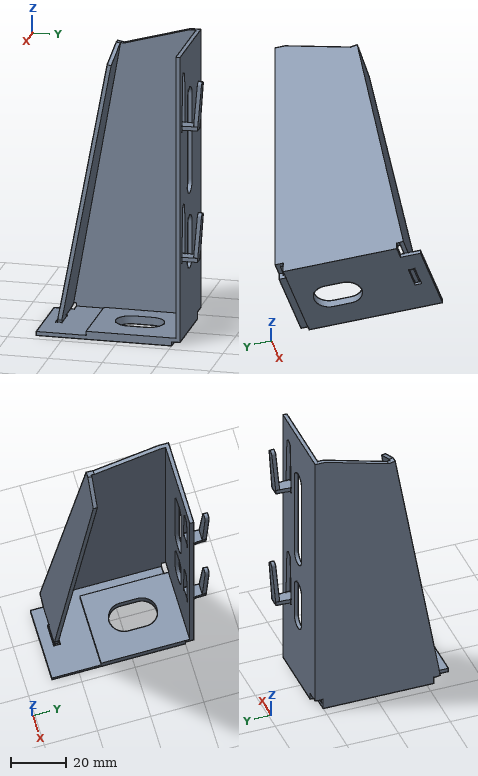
import cadquery as cq
import math

width = 32.5
height = 110.2
sheet = 1.5
bend_zone = 2.2

relief_height = 4.2
relief_depth = 3.1
relief_width = 5.1

wall_top_flat = 3.9
wall_front_top_y = -31.0
wall_front_top_z = 103.6
wall_front_bottom_y = -48.4
wall_front_bottom_z = 3.0
wall_foot_front_y = -45.8
wall_notch_z = 2.6
wall_shoulder = 2.6

flange_top_width = 12.3
flange_bottom_width = 19.4
flange_top_drop = 5.4
flange_tail = 1.0
flange_tail_start = 4.8

lower_foot_front_y = -53.3
lower_foot_front_x = 4.8
upper_foot_front_y = -34.8

slot_x = 17.4
foot_slot_width = 11.2
foot_slot_rear_y = -9.5
foot_slot_front_y = -27.4
back_slot_width = 7.3
back_slot_spans = ((53.7, 93.9), (25.1, 45.2))

tongue_start_x = 12.3
corner_slot_x = (12.1, 20.5)
corner_slot_y = (-49.0, -46.6)

tab_x = 26.9
tab_bottom_z = 81.4
tab_pitch = 50.0
tab_rear_y = 5.6
tab_tip_y = 7.0
tab_tip_rise = 18.2
tab_root_half = 2.37
tab_root_end_y = 1.2
tab_neck_y = 2.2
tab_neck_half = 2.2
tab_bend_half = 2.15
tab_tip_radius = 1.4
slit_width = 0.2
slit_bottom_drop = 0.8
window_top_rise = 20.9
window_taper_rise = 3.5
window_tip_radius = 1.7


def box(x_span, y_span, z_span):
    """Axis-aligned block between pairs of limits."""
    size = [span[1] - span[0] for span in (x_span, y_span, z_span)]
    return cq.Workplane("XY").box(*size, centered=False).translate((x_span[0], y_span[0], z_span[0]))


def tapered_finger(plane, straight, root_half, length, tip_radius):
    """Finger outline with an optional straight root, a taper and a round tip."""
    shoulder = length - tip_radius
    finger = cq.Workplane(plane).moveTo(-root_half, 0).lineTo(root_half, 0)
    if straight > 0:
        finger = finger.lineTo(root_half, straight)
    finger = finger.lineTo(tip_radius, shoulder)
    finger = finger.threePointArc((0, length), (-tip_radius, shoulder))
    if straight > 0:
        finger = finger.lineTo(-root_half, straight)
    return finger.close()


slope_run = wall_front_top_y - wall_front_bottom_y
slope_rise = wall_front_top_z - wall_front_bottom_z
slope_length = math.hypot(slope_run, slope_rise)
slope_sin = slope_run / slope_length
slope_cos = slope_rise / slope_length


def make_back_plate():
    plate = box((0, width), (-sheet, 0), (sheet, height))
    return plate.cut(box((0, relief_width), (-sheet, 0), (0, relief_height)))


def make_side_wall():
    shoulder_y = wall_front_top_y + wall_shoulder * slope_cos
    shoulder_z = wall_front_top_z - wall_shoulder * slope_sin
    outline = [
        (0, relief_height),
        (0, height),
        (-wall_top_flat, height),
        (shoulder_y, shoulder_z),
        (wall_front_top_y, wall_front_top_z),
        (wall_front_bottom_y, wall_front_bottom_z),
        (wall_foot_front_y, wall_notch_z),
        (wall_foot_front_y, 0),
        (-relief_depth, 0),
        (-relief_depth, relief_height),
    ]
    return cq.Workplane("YZ").polyline(outline).close().extrude(sheet)


def make_front_flange():
    plane = cq.Plane(
        origin=(0, wall_front_bottom_y, wall_front_bottom_z),
        xDir=(1, 0, 0),
        normal=(0, -slope_cos, slope_sin),
    )
    outline = [
        (0, 0),
        (0, slope_length),
        (bend_zone, slope_length),
        (flange_top_width, slope_length - flange_top_drop),
        (flange_bottom_width, -flange_tail),
        (flange_tail_start, -flange_tail),
    ]
    flange = cq.Workplane(plane).polyline(outline).close().extrude(-sheet)
    tail_y = wall_front_bottom_y - flange_tail * slope_sin
    tail_z = wall_front_bottom_z - flange_tail * slope_cos
    tongue = box((tongue_start_x, flange_bottom_width), (tail_y, tail_y + sheet), (0, tail_z))
    return flange.union(tongue)


def make_lower_foot():
    foot = box((0, width), (wall_foot_front_y, -relief_depth), (0, sheet))
    front = box((lower_foot_front_x, width), (lower_foot_front_y, wall_foot_front_y), (0, sheet))
    return foot.union(front).cut(box(corner_slot_x, corner_slot_y, (0, sheet)))


def make_upper_foot():
    return box((relief_width, width), (upper_foot_front_y, 0), (sheet, 2 * sheet))


def make_foot_slot():
    length = foot_slot_rear_y - foot_slot_front_y
    middle_y = (foot_slot_rear_y + foot_slot_front_y) / 2
    slot = cq.Workplane("XY").center(slot_x, middle_y).slot2D(length, foot_slot_width, 90)
    return slot.extrude(2 * sheet)


def make_back_slot(bottom_z, top_z):
    middle_z = (bottom_z + top_z) / 2
    slot = cq.Workplane("XZ").center(slot_x, middle_z).slot2D(top_z - bottom_z, back_slot_width, 90)
    return slot.extrude(sheet)


def make_tab_window(bottom_z):
    """Opening that the tab leaves in the back plate."""
    plane = cq.Plane(origin=(tab_x, 0, bottom_z), xDir=(1, 0, 0), normal=(0, -1, 0))
    window = tapered_finger(plane, window_taper_rise, tab_root_half, window_top_rise, window_tip_radius)
    return window.extrude(sheet)


def make_tab(bottom_z):
    """Level arm out of the back plate with a finger leaning away from it."""
    half_outline = [
        (tab_root_half, -sheet),
        (tab_root_half, tab_root_end_y),
        (tab_neck_half, tab_neck_y),
        (tab_bend_half, tab_rear_y),
    ]
    mirrored = [(-x, y) for x, y in reversed(half_outline)]
    arm = cq.Workplane("XY", origin=(tab_x, 0, bottom_z))
    arm = arm.polyline(half_outline + mirrored).close().extrude(sheet)

    lean = tab_tip_y - tab_rear_y
    plane = cq.Plane(
        origin=(tab_x, tab_rear_y, bottom_z),
        xDir=(1, 0, 0),
        normal=(0, -tab_tip_rise, lean),
    )
    finger_length = math.hypot(lean, tab_tip_rise)
    finger = tapered_finger(plane, 0, tab_bend_half, finger_length, tab_tip_radius).extrude(sheet)
    above_arm = box(
        (tab_x - tab_root_half, tab_x + tab_root_half),
        (0, 2 * tab_tip_y),
        (bottom_z, bottom_z + 2 * tab_tip_rise),
    )
    return arm.union(finger.intersect(above_arm))


def make_tab_slits(bottom_z):
    """Narrow cuts that run down the back plate on both sides of the tab's bend."""
    z_span = (bottom_z - slit_bottom_drop, bottom_z + sheet)
    slits = cq.Workplane("XY")
    for slit_x in (tab_x - tab_root_half, tab_x + tab_root_half):
        slits = slits.add(box((slit_x - slit_width / 2, slit_x + slit_width / 2), (-sheet, 0), z_span))
    return slits.combine()


bracket = make_back_plate().union(make_side_wall()).union(make_front_flange())
bracket = bracket.union(make_lower_foot()).union(make_upper_foot())

bracket = bracket.cut(make_foot_slot())
for slot_bottom_z, slot_top_z in back_slot_spans:
    bracket = bracket.cut(make_back_slot(slot_bottom_z, slot_top_z))

for tab_z in (tab_bottom_z, tab_bottom_z - tab_pitch):
    bracket = bracket.cut(make_tab_window(tab_z))
    bracket = bracket.union(make_tab(tab_z))
    bracket = bracket.cut(make_tab_slits(tab_z))

result = bracket